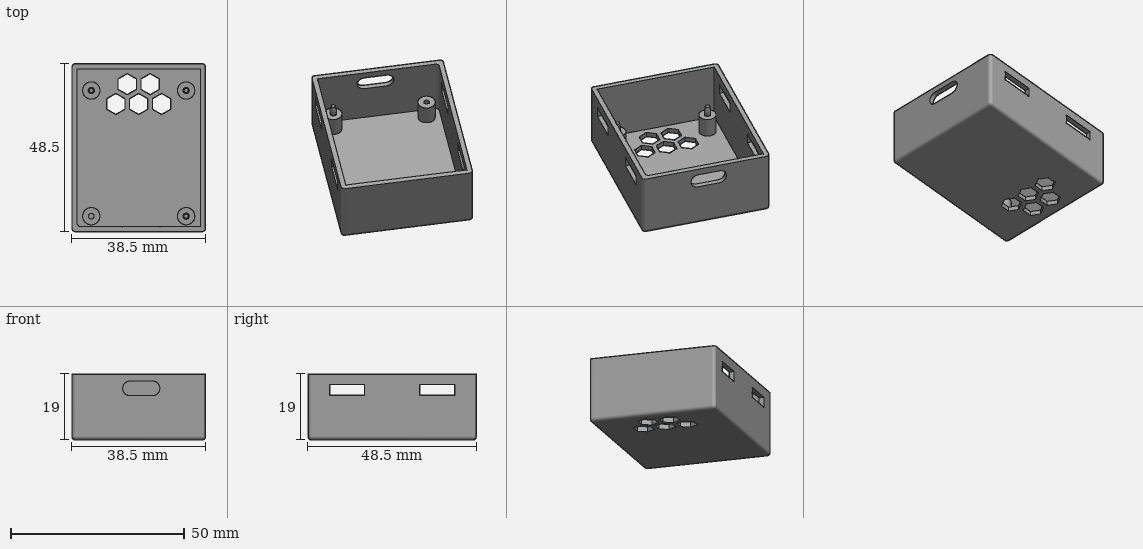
import cadquery as cq
import math

LENGTH_X = 38.5
LENGTH_Y = 48.5
HEIGHT = 19.0
WALL = 1.5
FLOOR = 1.5
EDGE_RADIUS = 1.0

WINDOW_LENGTH = 10.0
WINDOW_HEIGHT = 3.0
WINDOW_OFFSET_Y = 13.0
WINDOW_CENTER_Z = 14.5

SLOT_LENGTH = 10.7
SLOT_HEIGHT = 4.2
SLOT_CENTER_X = 0.75
SLOT_CENTER_Z = 14.95

VENT_DIAMETER = 6.0
VENT_PITCH = 6.6
VENT_ROW_Y = 12.6
VENT_ROW_SPACING = VENT_PITCH * math.sin(math.radians(60))

STANDOFF_DIAMETER = 5.0
STANDOFF_HEIGHT = 5.8
STANDOFF_X = 13.7
STANDOFF_BACK_Y = 16.5
STANDOFF_FRONT_Y = -19.75
STANDOFF_TOP = FLOOR + STANDOFF_HEIGHT
SOCKET_DIAMETER = 1.6
SOCKET_DEPTH = 2.0
COLLAR_DIAMETER = 1.8
COLLAR_HEIGHT = 1.5
TIP_DIAMETER = 1.2
TIP_HEIGHT = 1.5

PIN_POSITIONS = [
    (-STANDOFF_X, STANDOFF_BACK_Y),
    (STANDOFF_X, STANDOFF_BACK_Y),
    (STANDOFF_X, STANDOFF_FRONT_Y),
]
EMPTY_POSITION = (-STANDOFF_X, STANDOFF_FRONT_Y)


def make_tray():
    """Rounded outer block with a pocket whose front-left corner alone is rounded."""
    block = cq.Workplane("XY").box(LENGTH_X, LENGTH_Y, HEIGHT, centered=(True, True, False))
    block = block.edges("|Z").fillet(EDGE_RADIUS).faces("<Z").edges().fillet(EDGE_RADIUS)
    pocket = (
        cq.Workplane("XY", origin=(0, 0, FLOOR))
        .box(LENGTH_X - 2 * WALL, LENGTH_Y - 2 * WALL, HEIGHT, centered=(True, True, False))
        .edges("|Z and <X and <Y")
        .fillet(EDGE_RADIUS)
    )
    return block.cut(pocket)


def make_windows():
    """Bars along X that open matching windows in both long walls."""
    return (
        cq.Workplane("YZ", origin=(0, 0, WINDOW_CENTER_Z))
        .pushPoints([(-WINDOW_OFFSET_Y, 0), (WINDOW_OFFSET_Y, 0)])
        .rect(WINDOW_LENGTH, WINDOW_HEIGHT)
        .extrude(LENGTH_X, both=True)
    )


def make_front_slot():
    return (
        cq.Workplane("XZ", origin=(SLOT_CENTER_X, -LENGTH_Y / 2, SLOT_CENTER_Z))
        .slot2D(SLOT_LENGTH, SLOT_HEIGHT)
        .extrude(-2 * WALL)
    )


def make_vents():
    """Hexagonal prisms with corners pointing along Y."""
    front_row = [(column * VENT_PITCH, VENT_ROW_Y) for column in (-1, 0, 1)]
    back_row = [(side * VENT_PITCH / 2, VENT_ROW_Y + VENT_ROW_SPACING) for side in (-1, 1)]
    hexagon = cq.Sketch().regularPolygon(VENT_DIAMETER / 2, 6)
    return cq.Workplane("XY").pushPoints(front_row + back_row).placeSketch(hexagon).extrude(FLOOR)


def make_housing():
    return make_tray().cut(make_windows()).cut(make_front_slot()).cut(make_vents())


def make_standoff(position):
    """Post on the floor with a blind socket in its top."""
    x, y = position
    post = cq.Workplane("XY", origin=(x, y, FLOOR)).circle(STANDOFF_DIAMETER / 2).extrude(STANDOFF_HEIGHT)
    return post.faces(">Z").workplane().hole(SOCKET_DIAMETER, SOCKET_DEPTH)


def make_pin(position):
    """Turned pin: shank in the socket, collar on the standoff, tip tapering from the collar."""
    x, y = position
    shank_radius = SOCKET_DIAMETER / 2
    collar_radius = COLLAR_DIAMETER / 2
    tip_top = COLLAR_HEIGHT + TIP_HEIGHT
    profile = [
        (0, -SOCKET_DEPTH),
        (shank_radius, -SOCKET_DEPTH),
        (shank_radius, 0),
        (collar_radius, 0),
        (collar_radius, COLLAR_HEIGHT),
        (TIP_DIAMETER / 2, tip_top),
        (0, tip_top),
    ]
    pin = cq.Workplane("XZ").polyline(profile).close().revolve(360, (0, 0), (0, 1))
    return pin.translate((x, y, STANDOFF_TOP))


housing = make_housing()
standoffs = [make_standoff(position) for position in PIN_POSITIONS + [EMPTY_POSITION]]
pins = [make_pin(position) for position in PIN_POSITIONS]

bodies = [housing] + standoffs + pins
result = cq.Compound.makeCompound([body.val() for body in bodies])